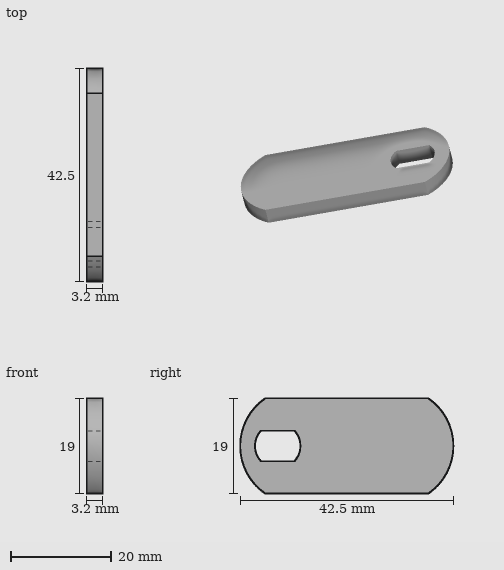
import cadquery as cq
import math

thickness = 3.2
length = 42.5
height = 19.0
end_radius = 11.5
hole_diameter = 9.0
hole_flats = 6.0
hole_to_end = 7.5

hole_centre_y = hole_to_end - length / 2


def flat_sided_outline(centre_y, across_arcs, across_flats, arc_radius):
    """Closed YZ outline: two flats parallel to Y, joined by an arc bulging out at each end."""
    tip = across_arcs / 2
    half_height = across_flats / 2
    arc_rise = arc_radius - math.sqrt(arc_radius**2 - half_height**2)
    corner = tip - arc_rise
    return (
        cq.Workplane("YZ", origin=(-thickness / 2, centre_y, 0))
        .moveTo(-corner, half_height)
        .lineTo(corner, half_height)
        .threePointArc((tip, 0), (corner, -half_height))
        .lineTo(-corner, -half_height)
        .threePointArc((-tip, 0), (-corner, half_height))
        .close()
    )


plate = flat_sided_outline(0, length, height, end_radius).extrude(thickness)

hole = flat_sided_outline(hole_centre_y, hole_diameter, hole_flats, hole_diameter / 2).extrude(thickness)

result = plate.cut(hole)